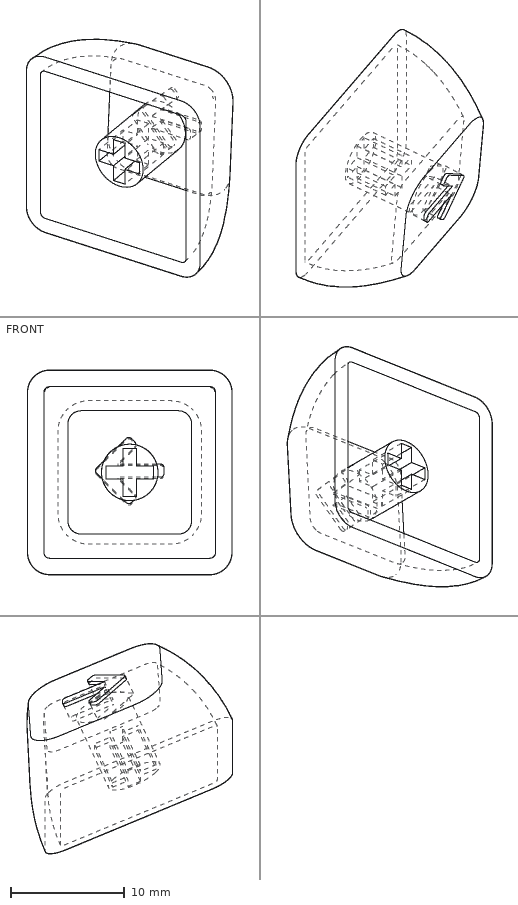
import cadquery as cq
import math

rim_width = 18.1
rim_corner = 2.0
top_width = 12.7
top_corner = 2.72
top_height = 9.57
top_tilt = 4.0
shell_steps = 6

mouth_width = 15.17
mouth_corner = 0.5
floor_width = 10.93
floor_corner = 1.18
floor_height = 8.04
cavity_steps = 4

stem_diameter = 5.0
stem_recess = 1.0
cross_length = 4.22
cross_width = 1.18
cross_depth = 3.98

arrow_length = 6.05
arrow_shaft_width = 1.18
arrow_arm_width = 1.07
arrow_arm_length = 4.35
arm_angle = 45.0
arrow_corner = 0.33
arrow_raise = 0.33
arrow_shift_z = 0.16


def plane_at(height, tilt):
    """Section plane on the centre line: local x is X, the normal leans from +Y toward -Z."""
    lean = math.radians(tilt)
    return cq.Plane((0, height, 0), (1, 0, 0), (0, math.cos(lean), -math.sin(lean)))


def tapered_block(start_width, start_corner, end_width, end_corner, height, steps):
    """Loft whose sides leave the rim square to it and curve inward, tilting toward the top."""
    sections = []
    for step in range(steps + 1):
        rise = step / steps
        inward = rise ** 2
        width = start_width + (end_width - start_width) * inward
        corner = start_corner + (end_corner - start_corner) * inward
        outline = cq.Sketch().rect(width, width).vertices().fillet(corner)
        sections.append(outline.moved(plane_at(height * rise, top_tilt * rise).location))
    return cq.Workplane().placeSketch(*sections).loft()


def make_stem():
    """Round post from the recessed end into the top wall, and the cross to cut from it."""
    end_plane = plane_at(stem_recess, 0)
    post_length = (floor_height + top_height) / 2 - stem_recess
    post = cq.Workplane(end_plane).circle(stem_diameter / 2).extrude(post_length)
    socket = (
        cq.Workplane(end_plane)
        .rect(cross_length, cross_width)
        .extrude(cross_depth)
        .union(cq.Workplane(end_plane).rect(cross_width, cross_length).extrude(cross_depth))
    )
    return post, socket


def make_arrow():
    """Two diagonal arms and a shaft, all rounded bars, from the cavity floor to above the top."""
    tip_x = -arrow_length / 2 - arrow_corner * (math.sqrt(2) - 1)
    half_diagonal = math.sqrt(0.5)
    arrow = cq.Sketch()
    for side in (1, -1):
        arm = cq.Sketch().rect(arrow_arm_length, arrow_arm_width).vertices().fillet(arrow_corner)
        arm_x = tip_x + (arrow_arm_length + arrow_arm_width) / 2 * half_diagonal
        arm_z = side * (arrow_arm_length - arrow_arm_width) / 2 * half_diagonal
        arm_turn = cq.Location(cq.Vector(arm_x, arm_z), cq.Vector(0, 0, 1), side * arm_angle)
        arrow = arrow.face(arm.moved(arm_turn))
    shaft_start = tip_x + arrow_arm_width
    shaft_end = arrow_length / 2
    shaft = cq.Sketch().rect(shaft_end - shaft_start, arrow_shaft_width).vertices().fillet(arrow_corner)
    arrow = arrow.face(shaft.moved(cq.Location(cq.Vector((shaft_start + shaft_end) / 2, 0)))).clean()

    inlay_height = (top_height - floor_height) * math.cos(math.radians(top_tilt)) + arrow_raise
    floor_plane = plane_at(floor_height, top_tilt)
    return cq.Workplane(floor_plane).center(0, -arrow_shift_z).placeSketch(arrow).extrude(inlay_height)


shell = tapered_block(rim_width, rim_corner, top_width, top_corner, top_height, shell_steps)
cavity = tapered_block(mouth_width, mouth_corner, floor_width, floor_corner, floor_height, cavity_steps)
stem, socket = make_stem()
arrow = make_arrow()

keycap = shell.cut(cavity).union(stem).cut(arrow).cut(socket)
result = cq.Compound.makeCompound([keycap.val(), arrow.val()])